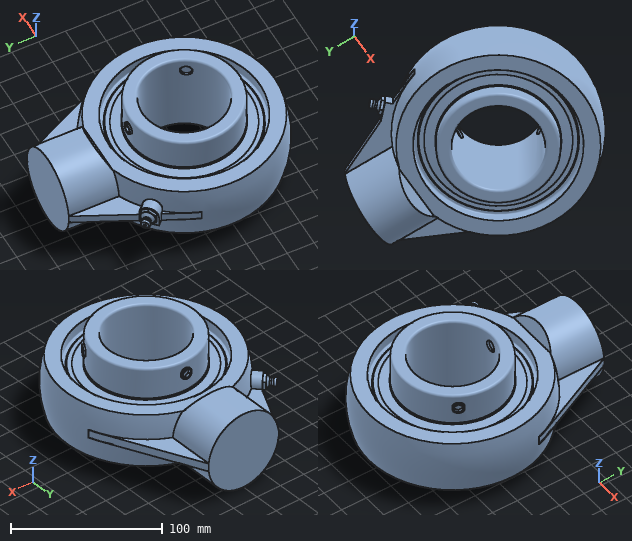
import cadquery as cq
import math

BORE_DIA = 61.91
INNER_RING_DIA = 82.55
INNER_RING_TOP = 39.7
INNER_RING_BOTTOM = -25.4
INNER_RING_FILLET = 2.0
SHOULDER_DIA = 83.57
SHOULDER_HALF_WIDTH = 15.4

OUTER_RING_SPHERE_RADIUS = 55.0
OUTER_RING_HALF_WIDTH = 13.7
OUTER_RING_CHAMFER = 0.8
OUTER_RING_BORE = 94.5

SEAL_DIA = 98.42
SEAL_THICKNESS = 3.0
SEAL_CONE_RISE = 0.6

SCREW_DIA = 8.38
SCREW_HEIGHT = 29.4
SCREW_OUTER_END = 42.6
SCREW_INNER_END = 32.5
SCREW_HEX_FLATS = 6.0
SCREW_HEX_DEPTH = 2.3
SCREW_ANGLES = (90, -30)

HOUSING_SPHERE_RADIUS = 70.82
HOUSING_HALF_WIDTH = 21.0
HOUSING_POCKET_DIA = 112.64
HOUSING_POCKET_FILLET = 1.0
HOUSING_POCKET_FLOOR = OUTER_RING_HALF_WIDTH - OUTER_RING_CHAMFER
SHANK_DIA = 59.94
SHANK_END = 101.75
SHANK_ROOT = 64.5
SHANK_SLOPE_END = 69.5
SHANK_OVERLAP = 4.0
WEB_THICKNESS = 6.35
WEB_RADIUS = 71.0
WEB_LOWER_END = 22.2

NIPPLE_ANGLE = 135
NIPPLE_HEIGHT = 5.0
NIPPLE_SEAT_RADIUS = 77.8
NIPPLE_PAD_RADIUS = 6.9
NIPPLE_HEX_FLATS = 11.0
NIPPLE_HEX_LENGTH = 2.3
NIPPLE_CONE_LENGTH = 2.0
NIPPLE_NECK_LENGTH = 1.3
NIPPLE_FLARE_LENGTH = 1.6
NIPPLE_HEAD_LENGTH = 2.0
NIPPLE_TIP_LENGTH = 0.5
NIPPLE_CONE_BASE_DIA = 10.5
NIPPLE_NECK_DIA = 5.4
NIPPLE_HEAD_DIA = 7.1
NIPPLE_HEAD_END_DIA = 5.7
NIPPLE_TIP_DIA = 1.76


def radial_plane(angle, height, distance):
    """Plane facing outward along a radius; its local x is horizontal and its local y is +Z."""
    a = math.radians(angle)
    outward = (math.cos(a), math.sin(a), 0)
    sideways = (-math.sin(a), math.cos(a), 0)
    origin = (distance * outward[0], distance * outward[1], height)
    return cq.Plane(origin=origin, xDir=sideways, normal=outward)


def disc(diameter, bottom, top):
    return cq.Workplane("XY").workplane(offset=bottom).circle(diameter / 2).extrude(top - bottom)


def housing_rim():
    """Solid disc with a spherical outer face, cut flat above and below."""
    face_radius = math.sqrt(HOUSING_SPHERE_RADIUS**2 - HOUSING_HALF_WIDTH**2)
    return (
        cq.Workplane("XZ")
        .moveTo(0, -HOUSING_HALF_WIDTH)
        .lineTo(-face_radius, -HOUSING_HALF_WIDTH)
        .threePointArc((-HOUSING_SPHERE_RADIUS, 0), (-face_radius, HOUSING_HALF_WIDTH))
        .lineTo(0, HOUSING_HALF_WIDTH)
        .close()
        .revolve(360, (0, 0, 0), (0, 1, 0))
    )


def housing_shank():
    """Round shank along +Y, narrowed by a sloped flat above and below to the housing width."""
    shank_radius = SHANK_DIA / 2
    start = SHANK_ROOT - SHANK_OVERLAP
    cylinder = cq.Workplane("XZ", origin=(0, SHANK_END, 0)).circle(shank_radius).extrude(SHANK_END - start)
    side = (
        cq.Workplane("YZ")
        .moveTo(start, -HOUSING_HALF_WIDTH)
        .lineTo(SHANK_ROOT, -HOUSING_HALF_WIDTH)
        .lineTo(SHANK_SLOPE_END, -shank_radius)
        .lineTo(SHANK_END, -shank_radius)
        .lineTo(SHANK_END, shank_radius)
        .lineTo(SHANK_SLOPE_END, shank_radius)
        .lineTo(SHANK_ROOT, HOUSING_HALF_WIDTH)
        .lineTo(start, HOUSING_HALF_WIDTH)
        .close()
        .extrude(shank_radius, both=True)
    )
    return cylinder.intersect(side)


def housing_web():
    """Flat web whose sides run from the shank end to a tangent on the rim."""
    corner_x = SHANK_DIA / 2
    corner_angle = math.atan2(SHANK_END, corner_x)
    tangent_angle = corner_angle - math.acos(WEB_RADIUS / math.hypot(corner_x, SHANK_END))
    end_angle = math.asin(WEB_LOWER_END / WEB_RADIUS)

    def rim_point(angle, side):
        return (side * WEB_RADIUS * math.cos(angle), WEB_RADIUS * math.sin(angle))

    middle_angle = (tangent_angle + end_angle) / 2
    return (
        cq.Workplane("XY")
        .moveTo(-corner_x, SHANK_END)
        .lineTo(corner_x, SHANK_END)
        .lineTo(*rim_point(tangent_angle, 1))
        .threePointArc(rim_point(middle_angle, 1), rim_point(end_angle, 1))
        .lineTo(*rim_point(end_angle, -1))
        .threePointArc(rim_point(middle_angle, -1), rim_point(tangent_angle, -1))
        .close()
        .extrude(WEB_THICKNESS / 2, both=True)
    )


def nipple_pad():
    """Round-topped pad that stands on the web and carries the grease nipple."""
    foot = -WEB_THICKNESS / 2 - NIPPLE_HEIGHT
    depth = NIPPLE_SEAT_RADIUS - HOUSING_POCKET_DIA / 2
    return (
        cq.Workplane(radial_plane(NIPPLE_ANGLE, NIPPLE_HEIGHT, NIPPLE_SEAT_RADIUS))
        .moveTo(-NIPPLE_PAD_RADIUS, foot)
        .lineTo(NIPPLE_PAD_RADIUS, foot)
        .lineTo(NIPPLE_PAD_RADIUS, 0)
        .threePointArc((0, NIPPLE_PAD_RADIUS), (-NIPPLE_PAD_RADIUS, 0))
        .close()
        .extrude(-depth)
    )


def bearing_opening():
    """Space inside the housing: a spherical seat between two filleted cylindrical pockets."""
    floor = HOUSING_POCKET_FLOOR
    space = cq.Workplane("XY").sphere(OUTER_RING_SPHERE_RADIUS).intersect(
        disc(HOUSING_POCKET_DIA, -floor, floor)
    )
    pocket = disc(HOUSING_POCKET_DIA, floor, HOUSING_HALF_WIDTH)
    pocket = pocket.faces("<Z").edges().fillet(HOUSING_POCKET_FILLET)
    return space.union(pocket).union(pocket.mirror("XY"))


def make_housing():
    body = housing_rim().union(housing_shank()).union(housing_web()).union(nipple_pad())
    return body.cut(bearing_opening())


def make_grease_nipple():
    seat = radial_plane(NIPPLE_ANGLE, NIPPLE_HEIGHT, NIPPLE_SEAT_RADIUS)
    hex_corners_dia = NIPPLE_HEX_FLATS / math.cos(math.pi / 6)
    hexagon = (
        cq.Workplane(seat)
        .transformed(rotate=(0, 0, 90))
        .polygon(6, hex_corners_dia)
        .extrude(NIPPLE_HEX_LENGTH)
    )
    cone_end = NIPPLE_HEX_LENGTH + NIPPLE_CONE_LENGTH
    neck_end = cone_end + NIPPLE_NECK_LENGTH
    flare_end = neck_end + NIPPLE_FLARE_LENGTH
    head_end = flare_end + NIPPLE_HEAD_LENGTH
    tip_end = head_end + NIPPLE_TIP_LENGTH
    profile_plane = cq.Plane(origin=seat.origin, xDir=seat.xDir, normal=-seat.yDir)
    fitting = (
        cq.Workplane(profile_plane)
        .moveTo(0, 0)
        .lineTo(NIPPLE_CONE_BASE_DIA / 2, 0)
        .lineTo(NIPPLE_CONE_BASE_DIA / 2, NIPPLE_HEX_LENGTH)
        .lineTo(NIPPLE_NECK_DIA / 2, cone_end)
        .lineTo(NIPPLE_NECK_DIA / 2, neck_end)
        .lineTo(NIPPLE_HEAD_DIA / 2, flare_end)
        .lineTo(NIPPLE_HEAD_END_DIA / 2, head_end)
        .lineTo(NIPPLE_TIP_DIA / 2, head_end)
        .lineTo(0, tip_end)
        .close()
        .revolve(360, (0, 0, 0), (0, 1, 0))
    )
    return hexagon.union(fitting)


def make_outer_ring():
    face = OUTER_RING_HALF_WIDTH
    chamfer_start = face - OUTER_RING_CHAMFER
    edge_radius = math.sqrt(OUTER_RING_SPHERE_RADIUS**2 - chamfer_start**2)
    recess_floor = face - SEAL_THICKNESS
    return (
        cq.Workplane("XZ")
        .moveTo(OUTER_RING_BORE / 2, -recess_floor)
        .lineTo(SEAL_DIA / 2, -recess_floor)
        .lineTo(SEAL_DIA / 2, -face)
        .lineTo(edge_radius - OUTER_RING_CHAMFER, -face)
        .lineTo(edge_radius, -chamfer_start)
        .threePointArc((OUTER_RING_SPHERE_RADIUS, 0), (edge_radius, chamfer_start))
        .lineTo(edge_radius - OUTER_RING_CHAMFER, face)
        .lineTo(SEAL_DIA / 2, face)
        .lineTo(SEAL_DIA / 2, recess_floor)
        .lineTo(OUTER_RING_BORE / 2, recess_floor)
        .close()
        .revolve(360, (0, 0, 0), (0, 1, 0))
    )


def make_inner_ring():
    ring = disc(INNER_RING_DIA, INNER_RING_BOTTOM, INNER_RING_TOP)
    ring = ring.cut(disc(BORE_DIA, INNER_RING_BOTTOM, INNER_RING_TOP))
    ring = ring.faces("<Z or >Z").edges().fillet(INNER_RING_FILLET)
    shoulder = disc(SHOULDER_DIA, -SHOULDER_HALF_WIDTH, SHOULDER_HALF_WIDTH)
    ring = ring.union(shoulder.cut(disc(BORE_DIA, -SHOULDER_HALF_WIDTH, SHOULDER_HALF_WIDTH)))
    for angle in SCREW_ANGLES:
        hole = cq.Workplane(radial_plane(angle, SCREW_HEIGHT, 0)).circle(SCREW_DIA / 2).extrude(INNER_RING_DIA)
        ring = ring.cut(hole)
    return ring


def make_seal(side):
    outer_face = OUTER_RING_HALF_WIDTH
    inner_face = outer_face - SEAL_THICKNESS
    seal = (
        cq.Workplane("XZ")
        .moveTo(SHOULDER_DIA / 2, inner_face)
        .lineTo(SEAL_DIA / 2, inner_face)
        .lineTo(SEAL_DIA / 2, outer_face)
        .lineTo(SHOULDER_DIA / 2, outer_face + SEAL_CONE_RISE)
        .close()
        .revolve(360, (0, 0, 0), (0, 1, 0))
    )
    return seal if side > 0 else seal.mirror("XY")


def make_set_screw(angle):
    outer_end = radial_plane(angle, SCREW_HEIGHT, SCREW_OUTER_END)
    body = cq.Workplane(outer_end).circle(SCREW_DIA / 2).extrude(SCREW_INNER_END - SCREW_OUTER_END)
    socket = (
        cq.Workplane(outer_end)
        .transformed(rotate=(0, 0, 90))
        .polygon(6, SCREW_HEX_FLATS / math.cos(math.pi / 6))
        .extrude(-SCREW_HEX_DEPTH)
    )
    return body.cut(socket)


housing = make_housing()
grease_nipple = make_grease_nipple()
outer_ring = make_outer_ring()
inner_ring = make_inner_ring()
seals = [make_seal(side) for side in (1, -1)]
set_screws = [make_set_screw(angle) for angle in SCREW_ANGLES]

result = cq.Compound.makeCompound(
    [housing.val(), grease_nipple.val(), outer_ring.val(), inner_ring.val()]
    + [seal.val() for seal in seals]
    + [screw.val() for screw in set_screws]
)